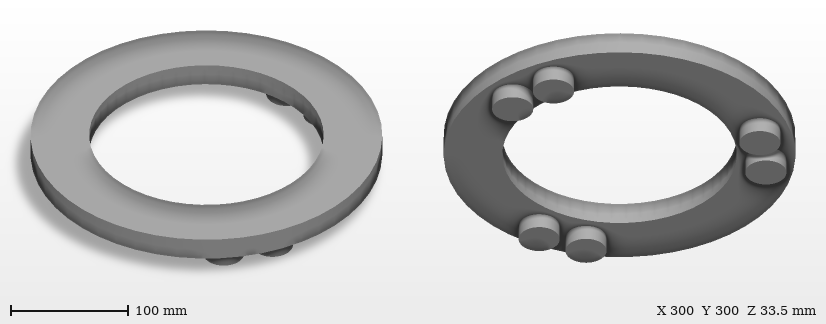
import cadquery as cq

outer_diameter = 300.0
inner_diameter = outer_diameter * 2 / 3
ring_thickness = outer_diameter / 15

total_height = 33.5
foot_diameter = 35.0
foot_height = total_height - ring_thickness
foot_circle_radius = (outer_diameter + inner_diameter) / 4
pair_directions = (90, 210, 330)
foot_half_spread = 10


def make_ring():
    """Ring with its underside on the XY plane."""
    return (
        cq.Workplane("XY")
        .circle(outer_diameter / 2)
        .circle(inner_diameter / 2)
        .extrude(ring_thickness)
    )


def make_foot(angle):
    """Foot hanging below the ring at the given angle from +X."""
    return (
        cq.Workplane("XY")
        .polarArray(foot_circle_radius, angle, 360, 1)
        .circle(foot_diameter / 2)
        .extrude(-foot_height)
    )


result = make_ring()
for direction in pair_directions:
    for offset in (-foot_half_spread, foot_half_spread):
        result = result.union(make_foot(direction + offset))